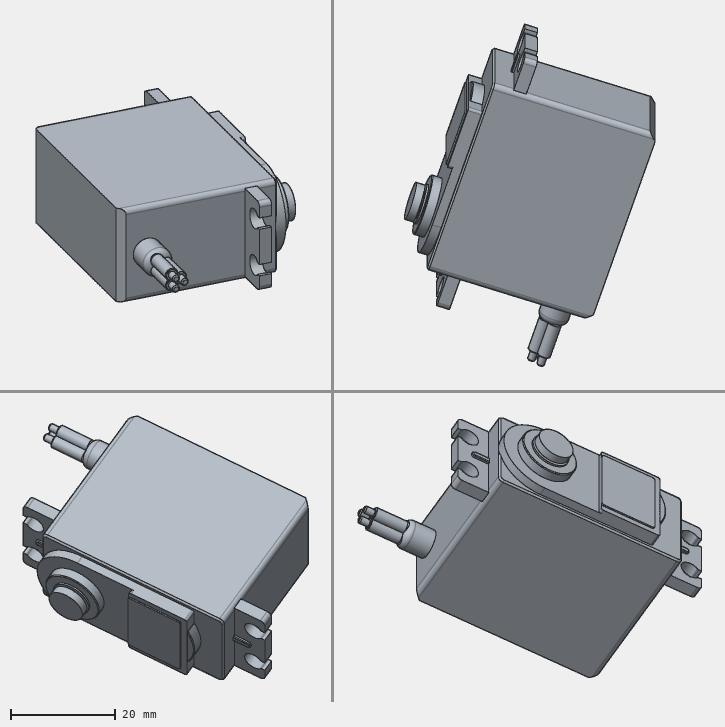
import cadquery as cq
import math


overall_length = 62.25

case_length = 40.6
case_height = 20.0
case_top = 33.3
corner_radius = 1.05
base_bevel = 1.5
rim_chamfer = 0.4

cover_half_height = 9.0
cover_left = -13.75
cover_top = 35.1
cover_corner_radius = 0.5
shaft_x = case_length / 2 - cover_half_height
block_right = -0.75
block_top = 36.05
plate_inset = 1.3
plate_top = 36.35

bulge_half_width = 5.0
bulge_depth = 1.5
bulge_top = 35.8
bulge_chamfer = 0.2

boss_radius = 6.0
boss_top = 37.15
boss_chamfer = 0.2
collar_radius = 4.0
collar_top = 37.55
neck_radius = 3.0
head_radius = 3.75
head_bottom = 37.85
shaft_top = 39.5

ear_span = 54.05
ear_height = 18.9
ear_bottom = 26.5
ear_top = 29.1
ear_corner_radius = 1.0
hole_diameter = 4.1
hole_edge_distance = 2.5
hole_spacing = 9.95
slot_width = 2.4
lip_rounding = 0.3
rib_width = 1.3
rib_height = 0.55
rib_end = 24.0
rib_chamfer = 0.2

cable_y = 6.0
grommet_radius = 3.0
grommet_end = 26.3
grommet_rounding = 1.45
wire_count = 3
wire_offset = 1.25
insulation_radius = 1.3
insulation_end = 33.2
insulation_chamfer = 0.2
core_radius = 0.75
core_end = overall_length - ear_span / 2
core_chamfer = 0.25
wire_angles = [90 + index * 360 / wire_count for index in range(wire_count)]


def plan(y):
    """Workplane at height y whose local x is X and local y is Z, extruding toward -Y."""
    return cq.Workplane("XZ", origin=(0, y, 0))


def disc(radius, bottom, top):
    """Cylinder about the output shaft axis."""
    return plan(top).center(shaft_x, 0).circle(radius).extrude(top - bottom)


def slab(x_min, x_max, height, bottom, top):
    """Box between two X positions, centred on Z = 0."""
    return plan(top).center((x_min + x_max) / 2, 0).rect(x_max - x_min, height).extrude(top - bottom)


def make_case_block():
    half = case_length / 2
    outline = [
        (half - base_bevel, 0),
        (half, base_bevel),
        (half, case_top),
        (-half, case_top),
        (-half, base_bevel),
        (base_bevel - half, 0),
    ]
    block = cq.Workplane("XY").polyline(outline).close().extrude(case_height / 2, both=True)
    block = block.edges("|Y").fillet(corner_radius)
    return block.faces(">Y").chamfer(rim_chamfer)


def make_cover():
    """Low cover with a round right end, a stepped block and a bulge on its left end."""
    foot = case_top - rim_chamfer
    height = 2 * cover_half_height
    cover = slab(cover_left, shaft_x, height, foot, cover_top)
    cover = cover.edges("|Y and <X").fillet(cover_corner_radius)
    round_end = disc(cover_half_height, foot, cover_top)
    block = slab(cover_left, block_right, height, foot, block_top)
    block = block.edges("|Y").fillet(cover_corner_radius)
    plate = slab(cover_left + plate_inset, block_right, height - 2 * plate_inset, block_top, plate_top)
    plate = plate.edges("|Y").fillet(cover_corner_radius)
    return cover.union(round_end).union(block).union(plate).union(make_bulge(foot))


def make_bulge(bottom):
    half = bulge_half_width
    return (
        plan(bulge_top)
        .moveTo(cover_left, -half)
        .threePointArc((cover_left - bulge_depth, 0), (cover_left, half))
        .close()
        .extrude(bulge_top - bottom)
        .faces(">Y")
        .edges("%CIRCLE")
        .chamfer(bulge_chamfer)
    )


def make_screw_opening(side, z):
    """Cutter for a screw hole that is open to the end of the ear, with rounded lips."""
    thickness = ear_top - ear_bottom
    ear_end = side * ear_span / 2
    hole_x = ear_end - side * hole_edge_distance
    hole_radius = hole_diameter / 2
    lip_x = hole_x + side * math.sqrt(hole_radius**2 - (slot_width / 2) ** 2)
    hole = plan(ear_top).center(hole_x, z).circle(hole_radius).extrude(thickness)
    slot = plan(ear_top).center(ear_end, z).rect(2 * hole_edge_distance, slot_width).extrude(thickness)
    middle = (ear_bottom + ear_top) / 2
    upper_lip = cq.selectors.NearestToPointSelector((lip_x, middle, z + slot_width / 2))
    lower_lip = cq.selectors.NearestToPointSelector((lip_x, middle, z - slot_width / 2))
    return hole.union(slot).edges(upper_lip + lower_lip).fillet(lip_rounding)


def make_ears():
    """Both mounting ears as one plate through the case, with open screw holes."""
    ears = slab(-ear_span / 2, ear_span / 2, ear_height, ear_bottom, ear_top)
    ears = ears.edges("|Y").fillet(ear_corner_radius)
    for side in (-1, 1):
        for z in (-hole_spacing / 2, hole_spacing / 2):
            ears = ears.cut(make_screw_opening(side, z))
    return ears


def make_ribs():
    """Round-nosed rib along the middle of both ears, running through the case."""
    rib_top = ear_top + rib_height
    ribs = plan(rib_top).slot2D(2 * rib_end, rib_width).extrude(rib_height)
    return ribs.faces(">Y").chamfer(rib_chamfer)


def make_housing():
    boss = disc(boss_radius, case_top, boss_top).faces(">Y").chamfer(boss_chamfer)
    return make_case_block().union(make_cover()).union(make_ears()).union(make_ribs()).union(boss)


def make_output_shaft():
    collar = disc(collar_radius, boss_top, collar_top)
    neck = disc(neck_radius, boss_top, head_bottom)
    head = disc(head_radius, head_bottom, shaft_top)
    return collar.union(neck).union(head)


def along_cable(x, radius, length, angle=None):
    """Cylinder along +X from x, on the cable axis or on the wire at the given angle."""
    y = cable_y
    z = 0
    if angle is not None:
        y += wire_offset * math.sin(math.radians(angle))
        z += wire_offset * math.cos(math.radians(angle))
    return cq.Workplane("YZ", origin=(x, y, z)).circle(radius).extrude(length)


def make_grommet():
    """Sleeve on the case side, rounded at its end around the three wire seats."""
    start = case_length / 2
    sleeve = along_cable(start, grommet_radius, grommet_end - start)
    sleeve = sleeve.faces(">X").edges().fillet(grommet_rounding)
    for angle in wire_angles:
        sleeve = sleeve.union(along_cable(start, insulation_radius, grommet_end - start, angle))
    return sleeve


def make_wire_sector(angle):
    """Wedge of the cable around one wire, where it is pressed flat against the other two."""
    reach = 4 * grommet_radius
    half_angle = math.pi / wire_count
    points = [(cable_y, 0)]
    for turn in (-half_angle, 0, half_angle):
        direction = math.radians(angle) + turn
        points.append((cable_y + reach * math.sin(direction), reach * math.cos(direction)))
    return (
        cq.Workplane("YZ", origin=(grommet_end, 0, 0))
        .polyline(points)
        .close()
        .extrude(insulation_end - grommet_end)
    )


def make_insulation(angle):
    length = insulation_end - grommet_end
    tube = along_cable(grommet_end, insulation_radius, length, angle)
    tube = tube.faces(">X").chamfer(insulation_chamfer)
    tube = tube.intersect(make_wire_sector(angle))
    return tube.cut(along_cable(grommet_end, core_radius, length, angle))


def make_core(angle):
    core = along_cable(grommet_end, core_radius, core_end - grommet_end, angle)
    return core.faces(">X").chamfer(core_chamfer)


housing = make_housing()
output_shaft = make_output_shaft()
grommet = make_grommet()
insulations = [make_insulation(angle) for angle in wire_angles]
cores = [make_core(angle) for angle in wire_angles]

bodies = [housing, output_shaft, grommet, *insulations, *cores]
result = cq.Compound.makeCompound([body.val() for body in bodies])